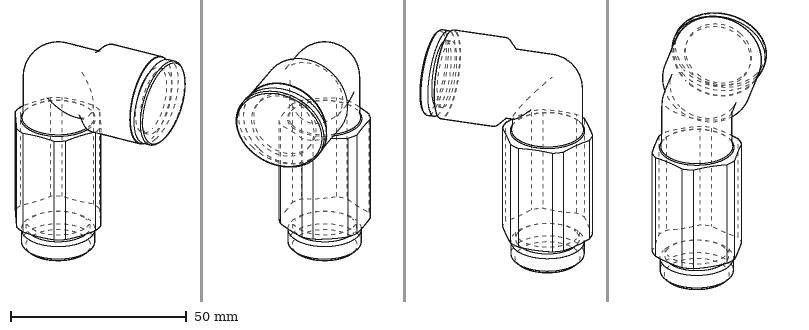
import cadquery as cq
import math

overall_height = 67.4
body_radius = 12.8
axis_height = overall_height - body_radius
leg_radius = 10.0

plug_radius = 10.45
plug_chamfer = 1.2
plug_top = 5.25
groove_radius = 9.1
groove_bottom = 6.05
groove_fillet = 0.7

hex_bottom = 8.55
hex_top = 41.05
hex_sides = 6
hex_flats = 24.0
hex_corner_radius = 13.0
hex_chamfer_angle = math.radians(15)

foot_radius = 10.6
foot_lip_radius = 10.25
foot_lip_height = 41.4
foot_top = 43.0

cone_angle = math.radians(45)
cone_end = 13.95
cone_start = cone_end - (body_radius - leg_radius) / math.tan(cone_angle)
cone_fillet = 0.9
body_end = 29.85
body_edge_chamfer = 0.15

collar_neck_radius = 9.6
collar_start = 31.5
collar_end = 34.0
collar_width = 27.0
collar_height = 24.0
collar_chamfer = 0.5


def make_plug():
    """Turned plug: chamfered band, undercut and fillet under the hexagon."""
    groove_top = hex_bottom - groove_fillet
    profile = (
        cq.Workplane("XZ")
        .lineTo(plug_radius - plug_chamfer, 0)
        .lineTo(plug_radius, plug_chamfer)
        .lineTo(plug_radius, plug_top)
        .lineTo(groove_radius, groove_bottom)
        .lineTo(groove_radius, groove_top)
        .radiusArc((groove_radius + groove_fillet, hex_bottom), groove_fillet)
        .lineTo(0, hex_bottom)
        .close()
    )
    return profile.revolve(360, (0, 0, 0), (0, 1, 0))


def make_hexagon():
    """Hexagonal bar trimmed by a turned envelope with chamfered ends."""
    height = hex_top - hex_bottom
    flat_radius = hex_flats / 2
    corner_diameter = hex_flats / math.cos(math.pi / hex_sides)
    chamfer_height = (hex_corner_radius - flat_radius) * math.tan(hex_chamfer_angle)
    bar = (
        cq.Workplane("XY", origin=(0, 0, hex_bottom))
        .polygon(hex_sides, corner_diameter)
        .extrude(height)
    )
    envelope = (
        cq.Workplane("XZ")
        .moveTo(0, hex_bottom)
        .lineTo(flat_radius, hex_bottom)
        .lineTo(hex_corner_radius, hex_bottom + chamfer_height)
        .lineTo(hex_corner_radius, hex_top - chamfer_height)
        .lineTo(flat_radius, hex_top)
        .lineTo(0, hex_top)
        .close()
        .revolve(360, (0, 0, 0), (0, 1, 0))
    )
    return bar.intersect(envelope)


def make_vertical_leg():
    """Upright leg with a tapered foot and a domed top."""
    profile = (
        cq.Workplane("XZ")
        .moveTo(0, hex_top)
        .lineTo(foot_radius, hex_top)
        .lineTo(foot_lip_radius, foot_lip_height)
        .lineTo(leg_radius, foot_top)
        .lineTo(leg_radius, axis_height)
        .radiusArc((0, axis_height + leg_radius), -leg_radius)
        .close()
    )
    return profile.revolve(360, (0, 0, 0), (0, 1, 0))


def make_socket():
    """Horizontal leg that widens through a blended cone into the socket body."""
    tangent = cone_fillet * math.tan(cone_angle / 2)
    slope_run = tangent * math.cos(cone_angle)
    slope_rise = tangent * math.sin(cone_angle)
    profile = (
        cq.Workplane("XZ", origin=(0, 0, axis_height))
        .lineTo(0, leg_radius)
        .lineTo(cone_start - tangent, leg_radius)
        .radiusArc((cone_start + slope_run, leg_radius + slope_rise), -cone_fillet)
        .lineTo(cone_end - slope_run, body_radius - slope_rise)
        .radiusArc((cone_end + tangent, body_radius), cone_fillet)
        .lineTo(body_end - body_edge_chamfer, body_radius)
        .lineTo(body_end, body_radius - body_edge_chamfer)
        .lineTo(body_end, 0)
        .close()
    )
    return profile.revolve(360, (0, 0, 0), (1, 0, 0))


def make_collar():
    """Round neck carrying an elliptical flange with a chamfered outer rim."""
    neck = (
        cq.Workplane("YZ", origin=(body_end, 0, axis_height))
        .circle(collar_neck_radius)
        .extrude(collar_start - body_end)
    )
    flange = (
        cq.Workplane("YZ", origin=(collar_start, 0, axis_height))
        .ellipse(collar_width / 2, collar_height / 2)
        .extrude(collar_end - collar_start)
        .faces(">X")
        .chamfer(collar_chamfer)
    )
    return neck.union(flange)


result = (
    make_plug()
    .union(make_hexagon())
    .union(make_vertical_leg())
    .union(make_socket())
    .union(make_collar())
)